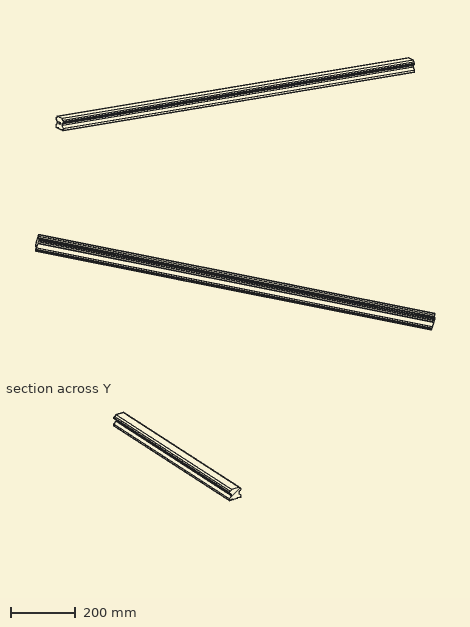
import math

import cadquery as cq

width = 45.0
length = 1260.0
height = 38.0
half_width = width / 2

top_half_width = 14.4
nose_center_height = 28.4
nose_half_height = 1.3

groove_radius = 4.83
groove_center_x = 20.2
groove_center_rise = 9.23
groove_inner_angle = 21.0
groove_outer_angle = 79.0

waist_half_width = 14.5
waist_top_height = 20.2
foot_side_height = 7.45
foot_chamfer = 1.4
waist_bottom_height = foot_side_height + half_width - waist_half_width

relief_inner_x = 8.4
relief_outer_x = 16.5
relief_depth = 1.5
relief_inner_inset = 0.8
relief_outer_inset = 1.7

recess_length = 9.0
recess_width = 6.0
recess_depth = 0.5


def groove_point(angle, side):
    """Point on a ball groove; side is 1 above the nose and -1 below it."""
    turn = math.radians(angle)
    x = groove_center_x - groove_radius * math.cos(turn)
    rise = groove_center_rise - groove_radius * math.sin(turn)
    return (x, nose_center_height + side * rise)


def half_rail():
    """The +X half of the rail, extruded along the whole length."""
    groove_middle_angle = (groove_inner_angle + groove_outer_angle) / 2
    profile = (
        cq.Workplane("XZ", origin=(0, length / 2, 0))
        .moveTo(0, 0)
        .lineTo(relief_inner_x, 0)
        .lineTo(relief_inner_x + relief_inner_inset, relief_depth)
        .lineTo(relief_outer_x - relief_outer_inset, relief_depth)
        .lineTo(relief_outer_x, 0)
        .lineTo(half_width - foot_chamfer, 0)
        .lineTo(half_width, foot_chamfer)
        .lineTo(half_width, foot_side_height)
        .lineTo(waist_half_width, waist_bottom_height)
        .lineTo(waist_half_width, waist_top_height)
        .lineTo(*groove_point(groove_inner_angle, -1))
        .threePointArc(
            groove_point(groove_middle_angle, -1),
            groove_point(groove_outer_angle, -1),
        )
        .lineTo(half_width, nose_center_height - nose_half_height)
        .lineTo(half_width, nose_center_height + nose_half_height)
        .lineTo(*groove_point(groove_outer_angle, 1))
        .threePointArc(
            groove_point(groove_middle_angle, 1),
            groove_point(groove_inner_angle, 1),
        )
        .lineTo(top_half_width, height)
        .lineTo(0, height)
        .close()
    )
    return profile.extrude(length)


def rail_body():
    """Both halves joined, centred on the origin in X and Y and standing on Z = 0."""
    half = half_rail()
    return half.union(half.mirror("YZ")).clean()


def end_recess():
    """Cutter for the recess in the -Y end face."""
    return (
        cq.Workplane("XZ", origin=(0, -length / 2, height / 2))
        .slot2D(recess_length, recess_width)
        .extrude(-recess_depth)
    )


result = rail_body().cut(end_recess())